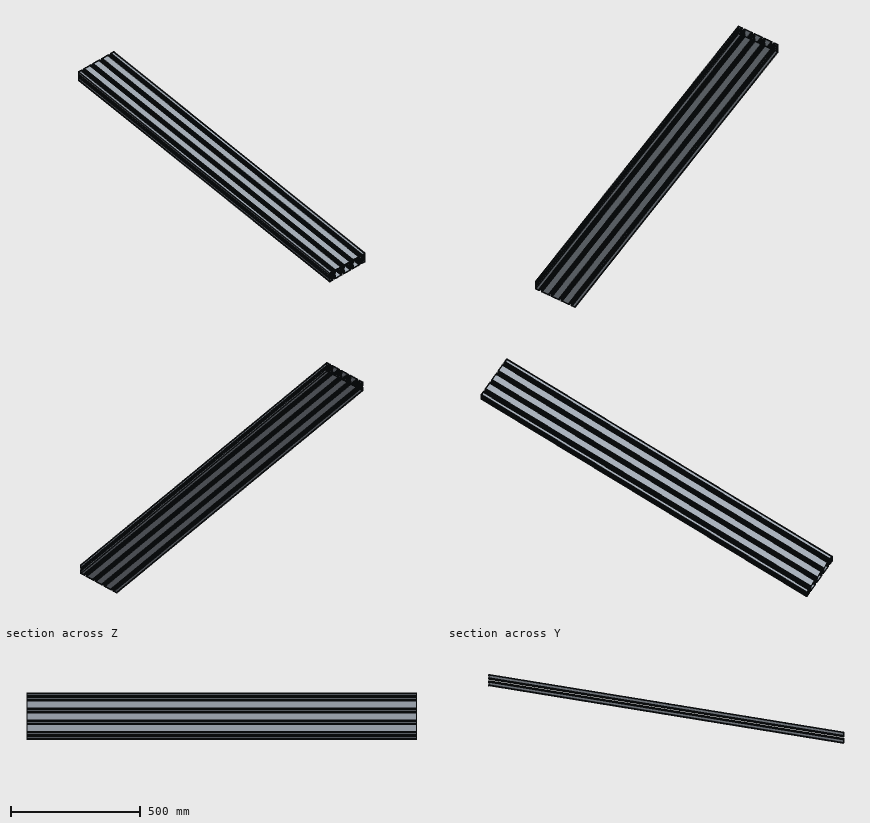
import cadquery as cq

LENGTH = 1500.0
CELL = 45.0
CELL_COUNT = 4
WIDTH = CELL * CELL_COUNT
HALF_CELL = CELL / 2
EDGE_RADIUS = 2.5

SLOT_OPENING = 8.2
SLOT_INNER = 13.6
SLOT_FLOOR = 6.0
LIP = 4.2
SLOT_SIDE_DEPTH = 12.3
SLOT_DEPTH = 14.1

SLOT_WALL = 2.2
SKIN = 2.0

BORE_DIAMETER = 7.4
CORE_WIDTH = 13.0
CORE_SIDE_HEIGHT = 14.4
CHAMBER_SHOULDER_HEIGHT = 8.3

CORNER_POINT = 7.7
CORNER_TAPER = 2.5

HOLLOW_EDGE = SLOT_INNER / 2 + SLOT_WALL
HOLLOW_TOP = HALF_CELL - SKIN
CELL_CENTRES = [(i - (CELL_COUNT - 1) / 2) * CELL for i in range(CELL_COUNT)]


def prism(section):
    """Extrude a closed (y, z) section along the full length of the profile."""
    start = cq.Workplane("YZ").workplane(offset=-LENGTH / 2)
    return start.polyline(section).close().extrude(LENGTH)


def mirrored_in_y(points):
    """Return the points followed by their mirror images, in outline order."""
    return points + [(-y, z) for y, z in reversed(points)]


def slot(centre, turn):
    """T-slot whose mouth faces +Z before it is turned about its cell's axis."""
    right_side = [
        (SLOT_OPENING / 2, HALF_CELL),
        (SLOT_OPENING / 2, HALF_CELL - LIP),
        (SLOT_INNER / 2, HALF_CELL - LIP),
        (SLOT_INNER / 2, HALF_CELL - SLOT_SIDE_DEPTH),
        (SLOT_FLOOR / 2, HALF_CELL - SLOT_DEPTH),
    ]
    cutter = prism(mirrored_in_y(right_side))
    return cutter.rotate((0, 0, 0), (1, 0, 0), turn).translate((0, centre, 0))


def bore(centre):
    """Round bore along the axis of a cell."""
    start = cq.Workplane("YZ").workplane(offset=-LENGTH / 2)
    return start.center(centre, 0).circle(BORE_DIAMETER / 2).extrude(LENGTH)


def chamber(boundary):
    """Hollow between two neighbouring cells, centred on their shared boundary."""
    half_width = HALF_CELL - HOLLOW_EDGE
    half_width_at_core = HALF_CELL - CORE_WIDTH / 2
    upper_right = [
        (half_width_at_core, CORE_SIDE_HEIGHT / 2),
        (half_width, CHAMBER_SHOULDER_HEIGHT),
        (half_width, HOLLOW_TOP),
    ]
    upper = mirrored_in_y(upper_right)
    lower = [(-y, -z) for y, z in upper]
    return prism(upper + lower).translate((0, boundary, 0))


def corner_hollow(y_side, z_side):
    """Square hollow in an outer corner, drawn out to a point toward the core."""
    section = [
        (HOLLOW_TOP, HOLLOW_TOP),
        (HOLLOW_TOP, HOLLOW_EDGE),
        (HOLLOW_EDGE + CORNER_TAPER, HOLLOW_EDGE),
        (CORNER_POINT, CORNER_POINT),
        (HOLLOW_EDGE, HOLLOW_EDGE + CORNER_TAPER),
        (HOLLOW_EDGE, HOLLOW_TOP),
    ]
    outer_cell_centre = CELL_CENTRES[-1]
    return prism([(y_side * (outer_cell_centre + y), z_side * z) for y, z in section])


result = cq.Workplane("XY").box(LENGTH, WIDTH, CELL).edges("|X").fillet(EDGE_RADIUS)

for cell_centre in CELL_CENTRES:
    result = result.cut(slot(cell_centre, 0))
    result = result.cut(slot(cell_centre, 180))
    result = result.cut(bore(cell_centre))

result = result.cut(slot(CELL_CENTRES[0], 90))
result = result.cut(slot(CELL_CENTRES[-1], -90))

for cell_centre in CELL_CENTRES[:-1]:
    result = result.cut(chamber(cell_centre + HALF_CELL))

for y_sign in (-1, 1):
    for z_sign in (-1, 1):
        result = result.cut(corner_hollow(y_sign, z_sign))